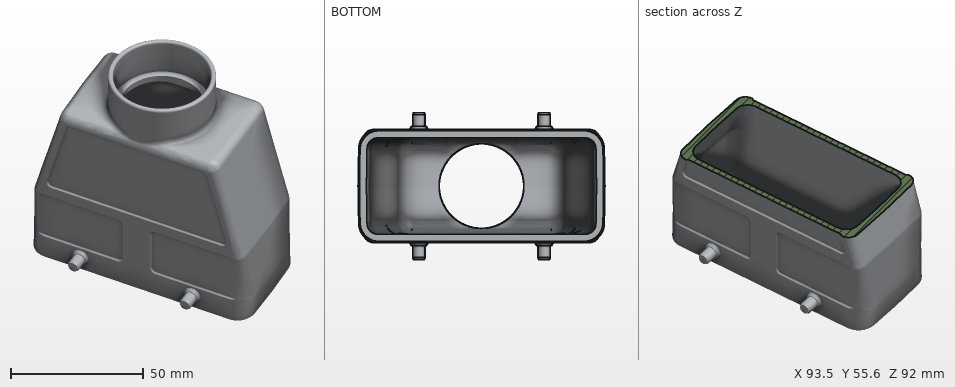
import cadquery as cq
import math

BASE_LENGTH = 93.5
SKIRT_LENGTH = 93.1
KINK_LENGTH = 89.95
ROOF_LENGTH = 66.6
BODY_WIDTH = 42.9
SKIRT_HEIGHT = 9.2
KINK_HEIGHT = 32.2
ROOF_HEIGHT = 75.9
KINK_BLEND = 0.33
SKIRT_CORNER = 7.5
UPPER_ROUND = 4.0
RIM_CHAMFER = 0.6
DRAFT = 1.0

WALL = 3.2
ROOF_THICKNESS = 1.4
CAVITY_ROUND = 5.1

COLLAR_TOP = 92.0
COLLAR_DIAMETER = 41.0
SOCKET_DIAMETER = 37.0
SOCKET_DEPTH = 15.1
BORE_DIAMETER = 32.0
COLLAR_RIM_ROUND = 0.9
COLLAR_FOOT_ROUND = 1.9

PANEL_DEPTH = 0.6
PANEL_TAPER = 45.0
PANEL_CORNER = 2.2
UPPER_PANEL_BOTTOM = 36.7
UPPER_PANEL_TOP = 71.5
UPPER_PANEL_INSET = 5.0
LOWER_PANEL_BOTTOM = 10.8
LOWER_PANEL_TOP = 32.3
LOWER_PANEL_INNER = 5.8
PANEL_OVERRUN = 4.7

PIN_SPACING = 47.4
PIN_HEIGHT = 6.45
PIN_SPAN = 55.6
PIN_DIAMETER = 4.8
PIN_TIP_DIAMETER = 4.0
PIN_TIP_LENGTH = 0.8
BOSS_DIAMETER = 7.0
BOSS_TOP_DIAMETER = 5.5
BOSS_HEIGHT = 1.2
EMBED = 0.9

MARGIN = 0.1

HALF_WIDTH = BODY_WIDTH / 2
SLOPE = (KINK_LENGTH - ROOF_LENGTH) / 2 / (ROOF_HEIGHT - KINK_HEIGHT)
RIM_DRAFT = (BASE_LENGTH - SKIRT_LENGTH) / 2 / (SKIRT_HEIGHT - RIM_CHAMFER)
STEEP = (SKIRT_LENGTH - KINK_LENGTH) / 2 / (KINK_HEIGHT - SKIRT_HEIGHT)


def outline(z, length, width):
    """Plan outline at height z: a rectangle whose two ends are shallow ridges."""
    half_length = length / 2
    half_width = width / 2
    corner_x = half_length - half_width * math.tan(math.radians(DRAFT))
    points = [
        (half_length, 0),
        (corner_x, half_width),
        (-corner_x, half_width),
        (-half_length, 0),
        (-corner_x, -half_width),
        (corner_x, -half_width),
    ]
    return cq.Wire.makePolygon([cq.Vector(x, y, z) for x, y in points], close=True)


def rounded_outline(z, length, width, corner):
    """Plan outline with its four real corners rounded."""
    wire = outline(z, length, width)
    corners = [v for v in wire.Vertices() if abs(v.Y) > MARGIN]
    return wire.fillet2D(corner, corners)


def sloped_length(z):
    """Length of the body at a height above the kink."""
    return KINK_LENGTH - 2 * SLOPE * (z - KINK_HEIGHT)


def upper_hood(bottom, inset, height, edge_round):
    """Sloped part with a ridged roof, its upright and roof edges rounded alike."""
    width = BODY_WIDTH - 2 * inset
    sections = [outline(z, sloped_length(z) - 2 * inset, width) for z in (bottom, height)]
    block = cq.Workplane(obj=cq.Solid.makeLoft(sections, True))
    eaves = height - width / 2 * math.tan(math.radians(DRAFT))
    gable = [
        (-width / 2, bottom),
        (width / 2, bottom),
        (width / 2, eaves),
        (0, height),
        (-width / 2, eaves),
    ]
    roof = cq.Workplane("YZ").polyline(gable).close().extrude(BASE_LENGTH / 2, both=True)
    block = block.intersect(roof)

    def is_outer(edge):
        box = edge.BoundingBox()
        on_ridge = max(abs(box.ymin), abs(box.ymax)) < MARGIN
        return box.zmax > bottom + MARGIN and not on_ridge

    return block.newObject([e for e in block.edges().vals() if is_outer(e)]).fillet(edge_round)


def hood(inset, height, skirt_corner, edge_round):
    """Solid hood shape with its sides moved inwards by inset."""
    blend_low = KINK_HEIGHT - KINK_BLEND
    blend_high = KINK_HEIGHT + KINK_BLEND
    upper = upper_hood(blend_high, inset, height, edge_round)
    stations = [
        (0, BASE_LENGTH + 2 * RIM_DRAFT * RIM_CHAMFER, skirt_corner),
        (SKIRT_HEIGHT, SKIRT_LENGTH, skirt_corner),
        (blend_low, KINK_LENGTH + 2 * STEEP * KINK_BLEND, edge_round),
    ]
    width = BODY_WIDTH - 2 * inset
    wires = [
        rounded_outline(z, length - 2 * inset, width, corner)
        for z, length, corner in stations
    ]
    wires.append(upper.faces("<Z").val().outerWire())
    lower = cq.Workplane(obj=cq.Solid.makeLoft(wires, True))
    return lower.union(upper)


def on_side(shape, side):
    """Turn a shape made on the -Y side to the +Y side when side is 1."""
    return shape if side < 0 else shape.rotate((0, 0, 0), (0, 0, 1), 180)


def panel(points):
    """Pocket cutter on the -Y wall that narrows towards its floor."""
    wall = cq.Workplane("XZ", origin=(0, -HALF_WIDTH, 0))
    sketch = cq.Sketch().polygon(points + points[:1]).vertices().fillet(PANEL_CORNER)
    return wall.placeSketch(sketch).extrude(-PANEL_DEPTH, taper=PANEL_TAPER)


def upper_panel():
    bottom = sloped_length(UPPER_PANEL_BOTTOM) / 2 - UPPER_PANEL_INSET
    top = sloped_length(UPPER_PANEL_TOP) / 2 - UPPER_PANEL_INSET
    return panel([
        (-bottom, UPPER_PANEL_BOTTOM),
        (bottom, UPPER_PANEL_BOTTOM),
        (top, UPPER_PANEL_TOP),
        (-top, UPPER_PANEL_TOP),
    ])


def lower_panel(direction):
    """Panel that runs out through the rounded body corner."""
    inner = direction * LOWER_PANEL_INNER
    outer = direction * (BASE_LENGTH / 2 + PANEL_OVERRUN)
    return panel([
        (inner, LOWER_PANEL_BOTTOM),
        (outer, LOWER_PANEL_BOTTOM),
        (outer, LOWER_PANEL_TOP),
        (inner, LOWER_PANEL_TOP),
    ])


def pin(x):
    """Locking pin on a conical boss, pointing in -Y."""
    tip = PIN_SPAN / 2
    root = HALF_WIDTH - EMBED
    boss_end = HALF_WIDTH + BOSS_HEIGHT
    profile = [
        (0, root),
        (BOSS_DIAMETER / 2, root),
        (BOSS_DIAMETER / 2, HALF_WIDTH),
        (BOSS_TOP_DIAMETER / 2, boss_end),
        (PIN_DIAMETER / 2, boss_end),
        (PIN_DIAMETER / 2, tip - PIN_TIP_LENGTH),
        (PIN_TIP_DIAMETER / 2, tip),
        (0, tip),
    ]
    turned = cq.Workplane("XY").polyline(profile).close().revolve(360, (0, 0), (0, 1))
    return turned.rotate((0, 0, 0), (0, 0, 1), 180).translate((x, 0, PIN_HEIGHT))


body = hood(0, ROOF_HEIGHT, SKIRT_CORNER, UPPER_ROUND)
body = body.faces("<Z").edges().chamfer(RIM_CHAMFER)

collar_bottom = ROOF_HEIGHT - UPPER_ROUND
collar = (
    cq.Workplane("XY", origin=(0, 0, collar_bottom))
    .circle(COLLAR_DIAMETER / 2)
    .extrude(COLLAR_TOP - collar_bottom)
    .faces(">Z").edges().fillet(COLLAR_RIM_ROUND)
)
body = body.union(collar)
reach = COLLAR_DIAMETER / 2 + MARGIN
foot = cq.selectors.BoxSelector(
    (-reach, -reach, collar_bottom),
    (reach, reach, ROOF_HEIGHT + MARGIN),
    boundingbox=True,
)
body = body.edges(foot).fillet(COLLAR_FOOT_ROUND)

cavity = hood(WALL, ROOF_HEIGHT - ROOF_THICKNESS, SKIRT_CORNER - WALL, CAVITY_ROUND)
body = body.cut(cavity)
top = cq.Workplane("XY", origin=(0, 0, COLLAR_TOP))
body = body.cut(top.circle(BORE_DIAMETER / 2).extrude(-(COLLAR_TOP - KINK_HEIGHT)))
body = body.cut(top.circle(SOCKET_DIAMETER / 2).extrude(-SOCKET_DEPTH))
socket_mouth = cq.selectors.RadiusNthSelector(0)
body = body.faces(">Z").edges(socket_mouth).fillet(COLLAR_RIM_ROUND)

for side in (-1, 1):
    body = body.cut(on_side(upper_panel(), side))
    for direction in (-1, 1):
        body = body.cut(on_side(lower_panel(direction), side))
        body = body.union(on_side(pin(direction * PIN_SPACING / 2), side))

result = body